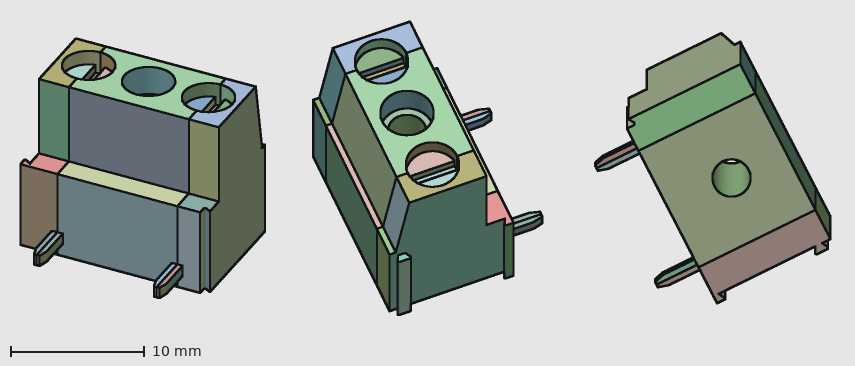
import cadquery as cq
import math


length = 15.6
depth = 9.8
height = 13.8
shoulder_height = 7.19
shoulder_depth = 1.95
ledge_height = 7.69
ledge_depth = 0.5
top_back_setback = 1.59

hook_reach = 0.6
pitch = 10.0
block_left = -(length - hook_reach) / 2
block_right = -block_left
screw_positions = (-pitch / 2, pitch / 2)

well_diameter = 4.0
well_y = 5.29
screw_depth = 1.2
slot_width = 0.8
slot_depth = 0.7
middle_well_depth = 2.4
through_diameter = 2.85

pin_size = 0.9
pin_length = 3.51
pin_z = 1.56
pin_taper_length = 0.78
pin_tip_width = 0.47

flank_angle = 30.0
flank_rise = hook_reach * math.tan(math.radians(flank_angle))
tip_radius = 0.12
hook_tip_radius = 0.08
hook_root = 0.44
dovetail_neck = 0.56
dovetail_setback = 0.98
dovetail_y = depth - dovetail_setback


def block():
    profile = [
        (0, 0),
        (depth, 0),
        (depth, ledge_height),
        (depth - ledge_depth, ledge_height),
        (depth - top_back_setback, height),
        (shoulder_depth, height),
        (shoulder_depth, shoulder_height),
        (0, shoulder_height),
    ]
    plane = cq.Workplane("YZ", origin=(block_left, 0, 0))
    return plane.polyline(profile).close().extrude(block_right - block_left)


def round_pocket(x, diameter, pocket_depth):
    plane = cq.Workplane("XY", origin=(x, well_y, height - pocket_depth))
    return plane.circle(diameter / 2).extrude(pocket_depth)


def screw_well(x):
    """Round well with the screw slot across its floor."""
    total_depth = screw_depth + slot_depth
    slot = cq.Workplane("XY", origin=(x, well_y, height - total_depth))
    slot = slot.rect(slot_width, well_diameter).extrude(total_depth)
    slot = slot.intersect(round_pocket(x, well_diameter, total_depth))
    return round_pocket(x, well_diameter, screw_depth).union(slot)


def pin(x):
    """Square pin standing out of the front face, with its sides tapered at the tip."""
    half = pin_size / 2
    half_tip = pin_tip_width / 2
    taper_start = -(pin_length - pin_taper_length)
    outline = [
        (-half, 0),
        (-half, taper_start),
        (-half_tip, -pin_length),
        (half_tip, -pin_length),
        (half, taper_start),
        (half, 0),
    ]
    plane = cq.Workplane("XY", origin=(x, 0, pin_z - half))
    return plane.polyline(outline).close().extrude(pin_size)


def hook(root_x, radius):
    """Half dovetail along the front face, reaching from root_x towards -X."""
    tip_x = root_x - hook_reach
    outline = [(root_x, 0), (root_x, hook_root), (tip_x, hook_root + flank_rise), (tip_x, 0)]
    solid = cq.Workplane("XY").polyline(outline).close().extrude(shoulder_height)
    return solid.edges("|Z").edges("<X").edges(">Y").fillet(radius)


def dovetail():
    """Full dovetail rib on the left side."""
    tip_x = block_left - hook_reach
    half_neck = dovetail_neck / 2
    half_tip = half_neck + flank_rise
    outline = [
        (block_left, dovetail_y - half_neck),
        (block_left, dovetail_y + half_neck),
        (tip_x, dovetail_y + half_tip),
        (tip_x, dovetail_y - half_tip),
    ]
    solid = cq.Workplane("XY").polyline(outline).close().extrude(shoulder_height)
    return solid.edges("|Z").edges("<X").fillet(tip_radius)


def segment(x_start, x_end):
    """The part of the drilled block and its pins between two planes across X."""
    whole = block()
    for x in screw_positions:
        whole = whole.cut(screw_well(x)).union(pin(x))
    whole = whole.cut(round_pocket(0, well_diameter, middle_well_depth))
    whole = whole.cut(round_pocket(0, through_diameter, height))
    slab_depth = depth + pin_length
    slab = cq.Workplane("XY", origin=(x_start, -pin_length, 0))
    slab = slab.box(x_end - x_start, slab_depth, height, centered=False)
    return whole.intersect(slab)


left_seam, right_seam = screw_positions
left_end = segment(block_left, left_seam).union(hook(block_left, hook_tip_radius)).union(dovetail())
middle = segment(left_seam, right_seam)
right_end = segment(right_seam, block_right).cut(hook(block_right, tip_radius))

result = cq.Compound.makeCompound([left_end.val(), middle.val(), right_end.val()])